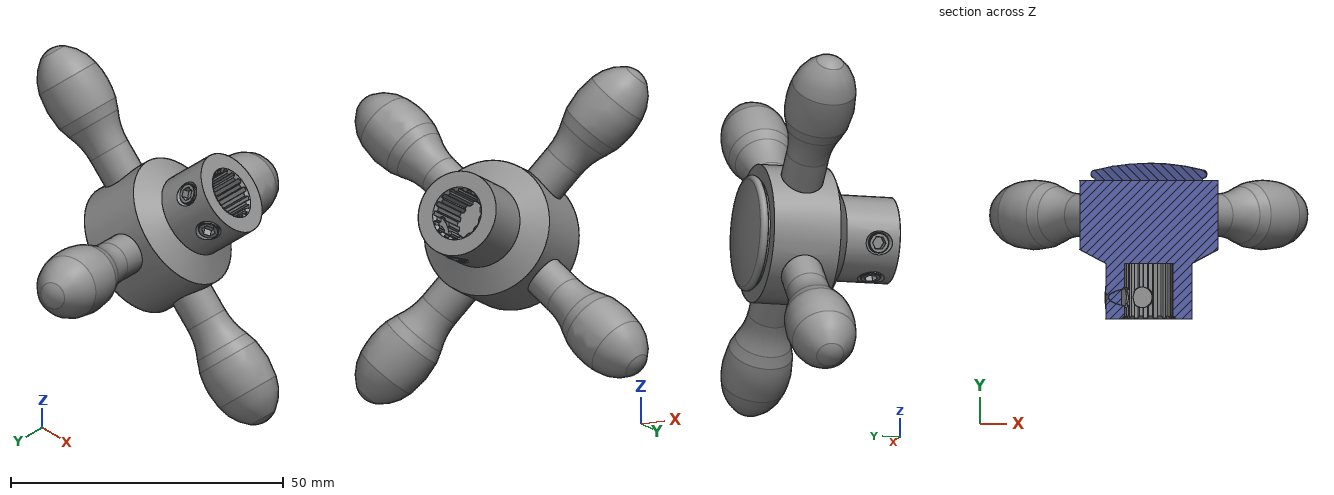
import cadquery as cq
import math


hub_radius = 12.7
hub_back = 6.35
cone_start = -6.35
neck_start = -8.89
neck_radius = 7.92
neck_length = 10.16
neck_end = neck_start - neck_length

bore_radius = 4.76
bore_mouth_radius = 4.95
bore_depth = neck_length
tooth_count = 16
tooth_turn = 4.0
tooth_tip_radius = 4.35
tooth_root_width = 1.1
tooth_tip_width = 0.7
lead_in_depth = bore_mouth_radius - tooth_tip_radius

handle_count = 4
first_handle_angle = 45.0
handle_angles = [first_handle_angle + i * 360 / handle_count for i in range(handle_count)]
handle_inner_end = 10.0
stem_radius = 3.92
stem_end = 17.9
flare_end, flare_radius = 23.6, 5.2
grip_start, grip_start_radius = 25.75, 5.95
grip_middle, grip_middle_radius = 29.5, 6.38
shoulder, shoulder_radius = 33.1, 5.97
shoulder_middle, shoulder_middle_radius = 36.2, 4.75
tip_start, tip_start_radius = 38.6, 2.52
tip_end = 39.4
tip_arc_radius = (tip_start_radius**2 + (tip_end - tip_start) ** 2) / (2 * (tip_end - tip_start))

cap_foot_radius = 9.87
cap_foot_height = 0.35
rim_thickness = 1.55
rim_radius = 10.65
dome_height = 1.27
dome_arc_radius = (cap_foot_radius**2 + dome_height**2) / (2 * dome_height)

screw_angles = (195.0, 255.0)
screw_y = neck_end + 3.97
screw_radius = 1.9
screw_outer_end = 7.87
screw_chamfer = 0.15
socket_across_flats = 2.2
socket_depth = 1.5
sink_radius = 2.5
sink_depth = sink_radius - screw_radius


def turned_about_y(shape, angle):
    """Turn a shape about the hub axis, from +X towards +Z."""
    return shape.rotate((0, 0, 0), (0, 1, 0), -angle)


def make_handle(angle):
    """Solid of revolution lying along +X, then turned to its angle."""
    handle = (
        cq.Workplane("XY")
        .moveTo(handle_inner_end, 0)
        .lineTo(handle_inner_end, stem_radius)
        .lineTo(stem_end, stem_radius)
        .tangentArcPoint((flare_end, flare_radius), relative=False)
        .lineTo(grip_start, grip_start_radius)
        .threePointArc((grip_middle, grip_middle_radius), (shoulder, shoulder_radius))
        .threePointArc((shoulder_middle, shoulder_middle_radius), (tip_start, tip_start_radius))
        .radiusArc((tip_end, 0), tip_arc_radius)
        .close()
        .revolve(360, (0, 0, 0), (1, 0, 0))
    )
    return turned_about_y(handle, angle)


def make_handle_socket(angle):
    socket = cq.Workplane("YZ", origin=(handle_inner_end, 0, 0)).circle(stem_radius).extrude(hub_radius)
    return turned_about_y(socket, angle)


def make_screw(angle):
    """Hex socket set screw that runs from the bore wall almost to the outside of the neck."""
    screw = (
        cq.Workplane("YZ", origin=(bore_radius, screw_y, 0))
        .circle(screw_radius)
        .extrude(screw_outer_end - bore_radius)
        .faces(">X")
        .chamfer(screw_chamfer)
        .faces(">X")
        .workplane()
        .polygon(6, socket_across_flats / math.cos(math.pi / 6))
        .cutBlind(-socket_depth)
    )
    return turned_about_y(screw, angle)


def make_screw_hole(angle):
    hole = cq.Workplane("YZ", origin=(0, screw_y, 0)).circle(screw_radius).extrude(hub_radius)
    sink = (
        cq.Workplane("XY", origin=(0, screw_y, 0))
        .moveTo(neck_radius - sink_depth, 0)
        .lineTo(neck_radius - sink_depth, screw_radius)
        .lineTo(neck_radius, sink_radius)
        .lineTo(hub_radius, sink_radius)
        .lineTo(hub_radius, 0)
        .close()
        .revolve(360, (0, 0, 0), (1, 0, 0))
    )
    return turned_about_y(hole.union(sink), angle)


def make_hub_blank():
    """Turned shape of the hub: barrel, cone and neck."""
    return (
        cq.Workplane("XY")
        .polyline(
            [
                (0, hub_back),
                (hub_radius, hub_back),
                (hub_radius, cone_start),
                (neck_radius, neck_start),
                (neck_radius, neck_end),
                (0, neck_end),
            ]
        )
        .close()
        .revolve(360, (0, 0, 0), (0, 1, 0))
    )


def make_bore():
    """Cutter for the bore: a cylinder less the spline teeth, plus a conical lead-in over the teeth."""
    bore = cq.Workplane("XZ", origin=(0, neck_end, 0)).circle(bore_radius).extrude(-bore_depth)
    lead_in = (
        cq.Workplane("XY")
        .moveTo(0, neck_end)
        .lineTo(bore_mouth_radius, neck_end)
        .lineTo(tooth_tip_radius, neck_end + lead_in_depth)
        .lineTo(0, neck_end + lead_in_depth)
        .close()
        .revolve(360, (0, 0, 0), (0, 1, 0))
    )
    for i in range(tooth_count):
        tooth = (
            cq.Workplane("XZ", origin=(0, neck_end, 0))
            .polyline(
                [
                    (tooth_tip_radius, -tooth_tip_width / 2),
                    (bore_radius, -tooth_root_width / 2),
                    (neck_radius, -tooth_root_width / 2),
                    (neck_radius, tooth_root_width / 2),
                    (bore_radius, tooth_root_width / 2),
                    (tooth_tip_radius, tooth_tip_width / 2),
                ]
            )
            .close()
            .extrude(-bore_depth)
        )
        bore = bore.cut(turned_about_y(tooth, tooth_turn + i * 360 / tooth_count))
    return bore.union(lead_in)


def make_hub():
    body = make_hub_blank().cut(make_bore())
    for angle in screw_angles:
        body = body.cut(make_screw_hole(angle))
    for angle in handle_angles:
        body = body.cut(make_handle_socket(angle))
    return body


def make_cap():
    rim_start = hub_back + cap_foot_height
    rim_end = rim_start + rim_thickness
    return (
        cq.Workplane("XY")
        .moveTo(0, hub_back)
        .lineTo(cap_foot_radius, hub_back)
        .lineTo(cap_foot_radius, rim_start)
        .threePointArc((rim_radius, (rim_start + rim_end) / 2), (cap_foot_radius, rim_end))
        .radiusArc((0, rim_end + dome_height), -dome_arc_radius)
        .close()
        .revolve(360, (0, 0, 0), (0, 1, 0))
    )


hub = make_hub()
cap = make_cap()
handles = [make_handle(angle) for angle in handle_angles]
screws = [make_screw(angle) for angle in screw_angles]

result = cq.Compound.makeCompound(
    [hub.val(), cap.val(), *[h.val() for h in handles], *[s.val() for s in screws]]
)